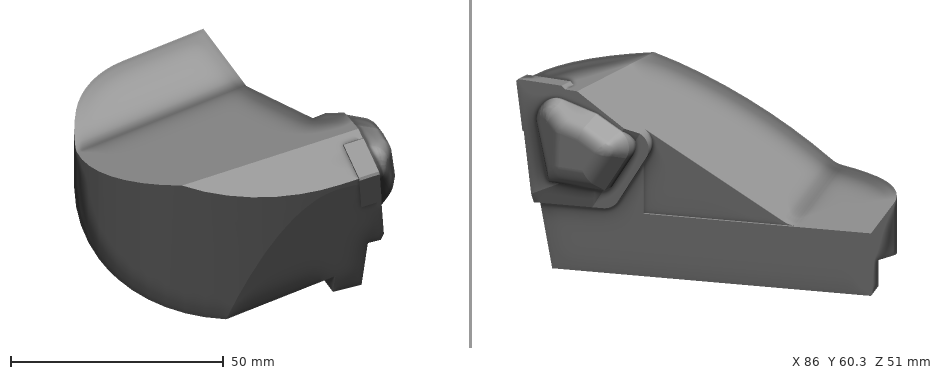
import cadquery as cq
import math

front_x = 36.65
front_y = -48.1
left_front_radius = 47.0
right_front_radius = 47.6
corner_radius = 21.2
outline_back = 12.0
corner_center_x = corner_radius
center_distance = left_front_radius - corner_radius
corner_offset_x = front_x - corner_center_x
corner_offset_y = math.sqrt(center_distance**2 - corner_offset_x**2)
left_center_y = front_y + left_front_radius
right_center_y = front_y + right_front_radius
corner_center_y = left_center_y - corner_offset_y

step_top = 15.6
ramp = math.radians(30.8)
ramp_start_x = 19.9
ramp_blend_radius = 6.0
lip_thickness = 7.0
lip_height = 6.5
underside_slope = math.radians(14.9)
cut_size = 150.0


def ramp_height(x):
    """Height of the ramp surface at a distance along X."""
    return step_top + (x - ramp_start_x) * math.tan(ramp)


head_turn = math.radians(10.0)
side_lean = math.radians(10.0)
crease_x = 70.5
crease_y = 2.88
crease_z = ramp_height(crease_x)
top_tilt = math.atan(math.tan(ramp) * math.sin(head_turn))
side_foot_x = 77.3
ramp_back_setback = 0.6

pad_left = 53.1
pad_back = 3.15
pad_bottom = 17.25
pad_radius = 4.3
pad_top_x = pad_left + pad_radius * (1 - math.sin(ramp))
bevel_start_x = 55.2
bevel = math.radians(35.0)
bottom_slope = math.radians(14.0)

clip_length = 12.6
clip_width = 5.0
clip_drop = 12.3
clip_rise = 0.78
clip_overhang = 0.48
clip_chamfer = 0.5
clip_end_slope = 0.9

dome_outline = [
    (-8.4, -22.7),
    (-16.0, -10.0),
    (-5.4, -4.6),
    (6.3, -1.7),
    (10.4, -6.5),
    (6.0, -22.7),
]
dome_corner_radius = 4.6
dome_wall = 0.5
dome_root = 6.0
dome_height = 6.78
dome_draft = 28.0
dome_edge_radius = 4.0
dome_slant_start = 2.0
dome_slant = math.radians(30.0)


def turned(x, y, z):
    """Rotate a direction given along the head (x), backward (y) and up (z) into place."""
    turn = -head_turn
    y_tilted = y * math.cos(top_tilt) - z * math.sin(top_tilt)
    z_tilted = y * math.sin(top_tilt) + z * math.cos(top_tilt)
    return cq.Vector(
        x * math.cos(turn) - y_tilted * math.sin(turn),
        x * math.sin(turn) + y_tilted * math.cos(turn),
        z_tilted,
    )


crease_corner = cq.Vector(crease_x, crease_y, crease_z)
along_head = turned(1, 0, 0)
backward = turned(0, 1, 0)
upward = turned(0, 0, 1)
back_plane = cq.Plane(crease_corner, along_head, backward * -1)
top_plane = cq.Plane(crease_corner, along_head, upward)

side_level = cq.Vector(math.cos(head_turn), -math.sin(head_turn), 0)
side_normal = side_level * math.cos(side_lean) - cq.Vector(0, 0, math.sin(side_lean))
side_plane = cq.Plane((side_foot_x, 0, 0), backward, side_normal)


def block_on(plane):
    """Large block filling the space on the positive side of a plane."""
    return cq.Workplane(plane).rect(2 * cut_size, 2 * cut_size).extrude(cut_size)


def make_outline_prism():
    """Tall prism of the plan outline, with a straight turned side running to the back."""
    blend = left_front_radius / center_distance
    tangent_x = front_x - corner_offset_x * blend
    tangent_y = left_center_y - corner_offset_y * blend
    side_start_x = front_x + right_front_radius * math.cos(head_turn)
    side_start_y = right_center_y - right_front_radius * math.sin(head_turn)
    side_end_x = side_start_x + (outline_back - side_start_y) * math.tan(head_turn)
    return (
        cq.Workplane("XY")
        .workplane(offset=-cut_size / 2)
        .moveTo(0, outline_back)
        .lineTo(0, corner_center_y)
        .radiusArc((tangent_x, tangent_y), -corner_radius)
        .radiusArc((front_x, front_y), -left_front_radius)
        .radiusArc((side_start_x, side_start_y), -right_front_radius)
        .lineTo(side_end_x, outline_back)
        .close()
        .extrude(cut_size)
    )


def make_ramp_prism():
    """Flat step and ramp, blended where they meet, reaching from the underside upwards."""
    ramp_end_x = cut_size
    ramp_end_z = ramp_height(ramp_end_x)
    return (
        cq.Workplane("XZ", origin=(0, -cut_size / 2, 0))
        .moveTo(0, -cut_size)
        .lineTo(0, step_top)
        .lineTo(ramp_start_x, step_top)
        .lineTo(ramp_end_x, ramp_end_z)
        .lineTo(ramp_end_x, -cut_size)
        .close()
        .extrude(-cut_size)
        .edges(cq.selectors.NearestToPointSelector((ramp_start_x, 0, step_top)))
        .fillet(ramp_blend_radius)
    )


def make_rear_prism():
    """Side profile of the low part: vertical back, lip and sloping underside."""
    front_z = lip_height - (cut_size - lip_thickness) * math.tan(underside_slope)
    return (
        cq.Workplane("YZ")
        .moveTo(0, cut_size)
        .lineTo(0, 0)
        .lineTo(-lip_thickness, 0)
        .lineTo(-lip_thickness, lip_height)
        .lineTo(-cut_size, front_z)
        .lineTo(-cut_size, cut_size)
        .close()
        .extrude(cut_size)
    )


def make_rear_pad():
    """Pad and bevelled boss behind the head, before the ramp and head planes trim them."""
    arc_center_x = pad_left + pad_radius
    pad_top_z = ramp_height(pad_top_x)
    arc_center_z = pad_top_z - pad_radius * math.cos(ramp)
    arc_end_x = arc_center_x - pad_radius * math.cos(ramp)
    arc_end_z = arc_center_z - pad_radius * math.sin(ramp)
    foot_x = arc_end_x + (arc_end_z - pad_bottom) * math.tan(ramp)
    profile = (
        cq.Workplane("XZ", origin=(0, -ramp_back_setback, 0))
        .moveTo(pad_top_x, pad_top_z)
        .radiusArc((arc_end_x, arc_end_z), -pad_radius)
        .lineTo(foot_x, pad_bottom)
        .lineTo(cut_size, pad_bottom)
        .lineTo(cut_size, ramp_height(cut_size))
        .close()
        .extrude(-cut_size)
        .edges(cq.selectors.NearestToPointSelector((foot_x, cut_size / 2, pad_bottom)))
        .fillet(pad_radius)
    )
    left_bevel = cq.Plane(
        (bevel_start_x, pad_back, ramp_height(bevel_start_x)),
        (math.sin(ramp), 0, -math.cos(ramp)),
        (-math.cos(ramp) * math.sin(bevel), math.cos(bevel), -math.sin(ramp) * math.sin(bevel)),
    )
    bottom_bevel = cq.Plane(
        (0, pad_back, pad_bottom),
        (1, 0, 0),
        (0, math.cos(bottom_slope), -math.sin(bottom_slope)),
    )
    pad = profile.cut(block_on(cq.Plane((0, pad_back, 0), (1, 0, 0), (0, 1, 0))))
    boss = profile.cut(block_on(left_bevel)).cut(block_on(bottom_bevel))
    return pad.union(boss)


def side_point_at_top():
    """Distance along the head from the crease corner to the leaning side face."""
    to_side = cq.Vector(side_foot_x, 0, 0) - crease_corner
    return to_side.dot(side_normal) / along_head.dot(side_normal)


def make_clip():
    """Raised corner clip wrapping over the top and the leaning side of the head."""
    outer = side_point_at_top() + clip_overhang
    left = outer - clip_length
    foot = outer - clip_drop * math.tan(side_lean)
    foot_level = clip_rise - clip_drop
    return (
        cq.Workplane(back_plane)
        .moveTo(left, 0)
        .lineTo(left + clip_end_slope, clip_rise)
        .lineTo(outer - clip_chamfer, clip_rise)
        .lineTo(outer, clip_rise - clip_chamfer)
        .lineTo(foot, foot_level)
        .lineTo(foot - clip_end_slope, foot_level)
        .lineTo(left, foot_level / 2)
        .close()
        .extrude(clip_width)
    )


def make_housing():
    """Curved body with its ramp, turned head, rear pad and corner clip."""
    base = make_outline_prism().intersect(make_rear_prism())
    setback = (
        cq.Workplane("XY", origin=(0, -ramp_back_setback, step_top))
        .box(pad_top_x, cut_size, cut_size, centered=False)
    )
    boss = make_rear_pad().intersect(make_outline_prism())
    body = base.cut(setback).union(boss).intersect(make_ramp_prism())
    body = body.cut(block_on(top_plane)).cut(block_on(side_plane))
    behind_head = block_on(cq.Plane(crease_corner, along_head, backward))
    return body.cut(behind_head).union(make_clip())


def dome_extrusion(depth, draft):
    """Dome outline drawn from the end of its straight wall, with its ends and top corner rounded."""
    outline = cq.Sketch().polygon([*dome_outline, dome_outline[0]])
    outline = outline.vertices("<X or >X or >Y").fillet(dome_corner_radius)
    return (
        cq.Workplane(back_plane)
        .workplane(offset=-dome_wall)
        .placeSketch(outline)
        .extrude(depth, taper=draft)
    )


def make_dome(housing):
    """Rounded dome seated on the back of the head, slanting down at its right end."""
    shell = dome_extrusion(dome_wall - dome_height, dome_draft)
    slant_normal = along_head * math.sin(dome_slant) + backward * math.cos(dome_slant)
    slant_start = crease_corner + along_head * dome_slant_start + backward * dome_height
    shell = shell.cut(block_on(cq.Plane(slant_start, upward, slant_normal)))
    rear_face = cq.selectors.DirectionMinMaxSelector(backward, True)
    slant_face = cq.selectors.DirectionMinMaxSelector(slant_normal, True)
    shell = shell.faces(rear_face + slant_face).edges().fillet(dome_edge_radius)
    root = dome_extrusion(dome_root, 0)
    return root.union(shell).cut(housing)


housing = make_housing()
dome = make_dome(housing)
result = cq.Compound.makeCompound([housing.val(), dome.val()])